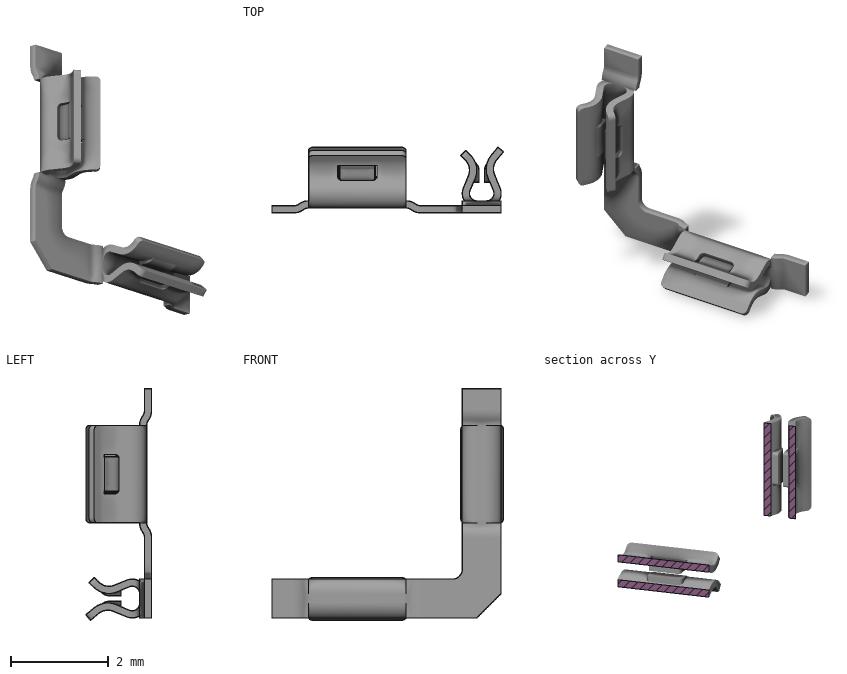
import cadquery as cq
import math

LEG_LENGTH = 4.7
STRIP_WIDTH = 0.8
THICKNESS = 0.15
INNER_CORNER_RADIUS = 0.2
OUTER_CORNER_CHAMFER = 0.5

END_PAD_LENGTH = 0.45
CLIP_LENGTH = 2.0
JOGGLE_LENGTH = 0.3
JOGGLE_HEIGHT = 0.1
JOGGLE_STRAIGHT = 0.02

CLIP_END = LEG_LENGTH - END_PAD_LENGTH - JOGGLE_LENGTH
CLIP_START = CLIP_END - CLIP_LENGTH
CLIP_MIDDLE = (CLIP_START + CLIP_END) / 2
PLATE_END = CLIP_START - JOGGLE_LENGTH

CLIP_HEIGHT = 1.35
BASE_FLAT = 0.2
BEND_OUTER_RADIUS = (STRIP_WIDTH - BASE_FLAT) / 2
BEND_INNER_RADIUS = BEND_OUTER_RADIUS - THICKNESS
ARM_LEAN = 22.5
WAIST_CONCAVE_RADIUS = 0.3
WAIST_CONVEX_RADIUS = WAIST_CONCAVE_RADIUS + THICKNESS
SHORT_ARM_STRAIGHT = 0.265
SHORT_ARM_FLARE = 45.0
SHORT_ARM_TIP = 0.13
LONG_ARM_STRAIGHT = 0.292
LONG_ARM_FLARE = 40.0
TIP_CORNER_RADIUS = 0.1

WINDOW_LENGTH = 0.8
WINDOW_BOTTOM = 0.667
WINDOW_TOP = 0.968
WINDOW_CORNER_RADIUS = 0.1
WINDOW_REACH_OUT = 0.1
WINDOW_REACH_IN = 0.3
SHORT_ARM_LANCE_LENGTH = 0.7
LONG_ARM_LANCE_LENGTH = 0.75
LANCE_HALF_GAP = 0.055
LANCE_BOTTOM = 0.628
LANCE_BEND_HEIGHT = 0.875
LANCE_BEND_ANGLE = 40.0
LANCE_BEND_RADIUS = 0.05
LANCE_ROOT = 0.1
LANCE_CORNER_RADIUS = 0.06

BEND_CENTER = (BASE_FLAT / 2, JOGGLE_HEIGHT + BEND_OUTER_RADIUS)


def offset(point, distance, degrees):
    """Point at a distance and direction from another point."""
    angle = math.radians(degrees)
    return (point[0] + distance * math.cos(angle), point[1] + distance * math.sin(angle))


def arc_to(sketch, center, radius, start, end):
    """Continue an outline along a circular arc, from one angle to another."""
    middle = offset(center, radius, (start + end) / 2)
    return sketch.threePointArc(middle, offset(center, radius, end))


def corner_plate():
    """Flat plate that joins the two legs at the corner."""
    outline = (
        cq.Workplane("XZ")
        .moveTo(-PLATE_END, 0)
        .lineTo(-OUTER_CORNER_CHAMFER, 0)
        .lineTo(0, OUTER_CORNER_CHAMFER)
        .lineTo(0, PLATE_END)
        .lineTo(-STRIP_WIDTH, PLATE_END)
        .lineTo(-STRIP_WIDTH, STRIP_WIDTH)
        .lineTo(-PLATE_END, STRIP_WIDTH)
        .close()
    )
    plate = outline.extrude(-THICKNESS)
    inner_corner = cq.selectors.NearestToPointSelector((-STRIP_WIDTH, THICKNESS / 2, STRIP_WIDTH))
    return plate.edges("|Y").edges(inner_corner).fillet(INNER_CORNER_RADIUS)


def end_pad():
    pad = cq.Workplane("XY").box(STRIP_WIDTH, THICKNESS, END_PAD_LENGTH, centered=False)
    return pad.translate((-STRIP_WIDTH, 0, LEG_LENGTH - END_PAD_LENGTH))


def joggle():
    """S-bend from strip level at Z = 0 up to clip level at Z = JOGGLE_LENGTH."""
    middle_radius = (JOGGLE_LENGTH**2 + JOGGLE_HEIGHT**2 - JOGGLE_STRAIGHT**2) / (4 * JOGGLE_HEIGHT)
    slope = math.degrees(
        math.atan2(JOGGLE_LENGTH, 2 * middle_radius - JOGGLE_HEIGHT)
        - math.atan2(JOGGLE_STRAIGHT, 2 * middle_radius)
    )
    inner = middle_radius - THICKNESS / 2
    outer = middle_radius + THICKNESS / 2
    low_center = (THICKNESS + inner, 0)
    high_center = (JOGGLE_HEIGHT - inner, JOGGLE_LENGTH)
    section = cq.Workplane("YZ").moveTo(0, 0)
    section = arc_to(section, low_center, outer, 180, 180 - slope)
    section = section.lineTo(*offset(high_center, inner, -slope))
    section = arc_to(section, high_center, inner, -slope, 0)
    section = section.lineTo(JOGGLE_HEIGHT + THICKNESS, JOGGLE_LENGTH)
    section = arc_to(section, high_center, outer, 0, -slope)
    section = section.lineTo(*offset(low_center, inner, 180 - slope))
    section = arc_to(section, low_center, inner, 180 - slope, 180)
    return section.close().extrude(-STRIP_WIDTH)


def waist_center(straight):
    """Centre of the waist arcs for an arm with the given straight length."""
    across = offset(BEND_CENTER, BEND_OUTER_RADIUS + WAIST_CONCAVE_RADIUS, ARM_LEAN)
    return offset(across, straight, 90 + ARM_LEAN)


def clip_arm(straight, flare, tip, lance_length):
    """Half of the clip on the +X side of its middle plane X = 0, centred on Z = 0."""
    waist = waist_center(straight)
    waist_start = 180 + ARM_LEAN
    waist_end = 180 - flare
    tip_direction = 90 - flare
    convex_end = offset(waist, WAIST_CONVEX_RADIUS, waist_end)
    concave_end = offset(waist, WAIST_CONCAVE_RADIUS, waist_end)

    section = cq.Workplane("XY").moveTo(0, JOGGLE_HEIGHT + THICKNESS)
    section = section.lineTo(BEND_CENTER[0], JOGGLE_HEIGHT + THICKNESS)
    section = arc_to(section, BEND_CENTER, BEND_INNER_RADIUS, -90, ARM_LEAN)
    section = section.lineTo(*offset(waist, WAIST_CONVEX_RADIUS, waist_start))
    section = arc_to(section, waist, WAIST_CONVEX_RADIUS, waist_start, waist_end)
    section = section.lineTo(*offset(convex_end, tip, tip_direction))
    section = section.lineTo(*offset(concave_end, tip, tip_direction))
    section = section.lineTo(*concave_end)
    section = arc_to(section, waist, WAIST_CONCAVE_RADIUS, waist_end, waist_start)
    section = section.lineTo(*offset(BEND_CENTER, BEND_OUTER_RADIUS, ARM_LEAN))
    section = arc_to(section, BEND_CENTER, BEND_OUTER_RADIUS, ARM_LEAN, -90)
    section = section.lineTo(0, JOGGLE_HEIGHT)
    arm = section.close().extrude(CLIP_LENGTH / 2, both=True)
    tip_middle = offset(offset(waist, WAIST_CONCAVE_RADIUS + THICKNESS / 2, waist_end), tip, tip_direction)
    tip_face = cq.selectors.NearestToPointSelector((*tip_middle, 0))
    arm = arm.faces(tip_face).edges("not |Z").fillet(TIP_CORNER_RADIUS)
    return arm.cut(lance_window()).union(lance(waist, lance_length))


def lance_window():
    """Cutter for the window, its lower end square to the sheet."""
    bend_edge = offset(BEND_CENTER, BEND_OUTER_RADIUS, ARM_LEAN)
    rise = (WINDOW_BOTTOM - bend_edge[1]) / math.cos(math.radians(ARM_LEAN))
    on_arm = offset(bend_edge, rise, 90 + ARM_LEAN)
    outside = offset(on_arm, WINDOW_REACH_OUT, ARM_LEAN)
    inside = offset(on_arm, -WINDOW_REACH_IN, ARM_LEAN)
    corners = [inside, outside, (outside[0], WINDOW_TOP), (inside[0], WINDOW_TOP)]
    cutter = cq.Workplane("XY").polyline(corners).close().extrude(WINDOW_LENGTH / 2, both=True)
    return cutter.faces("<Y").edges("not |Z").fillet(WINDOW_CORNER_RADIUS)


def lance(waist, length):
    """Tongue hanging from the waist, trimmed flush with the outside of the arm."""
    back = LANCE_HALF_GAP + THICKNESS
    bend = (back + LANCE_BEND_RADIUS, LANCE_BEND_HEIGHT)
    front_radius = LANCE_BEND_RADIUS + THICKNESS
    bend_end = 180 - LANCE_BEND_ANGLE
    root_direction = 90 - LANCE_BEND_ANGLE
    front_end = offset(bend, front_radius, bend_end)
    back_end = offset(bend, LANCE_BEND_RADIUS, bend_end)

    section = cq.Workplane("XY").moveTo(back, LANCE_BOTTOM).lineTo(LANCE_HALF_GAP, LANCE_BOTTOM)
    section = section.lineTo(LANCE_HALF_GAP, LANCE_BEND_HEIGHT)
    section = arc_to(section, bend, front_radius, 180, bend_end)
    section = section.lineTo(*offset(front_end, LANCE_ROOT, root_direction))
    section = section.lineTo(*offset(back_end, LANCE_ROOT, root_direction))
    section = section.lineTo(*back_end)
    section = arc_to(section, bend, LANCE_BEND_RADIUS, bend_end, 180)
    tongue = section.close().extrude(length / 2, both=True)
    tongue = tongue.faces("<Y").edges("|X").fillet(LANCE_CORNER_RADIUS)

    waist_hollow = (
        cq.Workplane("XY")
        .center(*waist)
        .circle(WAIST_CONCAVE_RADIUS)
        .extrude(length, both=True)
    )
    return tongue.cut(waist_hollow)


def clip():
    waist = waist_center(LONG_ARM_STRAIGHT)
    long_tip_start = offset(waist, WAIST_CONVEX_RADIUS, 180 - LONG_ARM_FLARE)
    long_tip = (CLIP_HEIGHT - long_tip_start[1]) / math.cos(math.radians(LONG_ARM_FLARE))
    long_arm = clip_arm(LONG_ARM_STRAIGHT, LONG_ARM_FLARE, long_tip, LONG_ARM_LANCE_LENGTH)
    short_arm = clip_arm(
        SHORT_ARM_STRAIGHT, SHORT_ARM_FLARE, SHORT_ARM_TIP, SHORT_ARM_LANCE_LENGTH
    )
    return long_arm.union(short_arm.mirror("YZ")).translate((-STRIP_WIDTH / 2, 0, CLIP_MIDDLE))


def leg():
    """Everything beyond the corner plate on the upright leg."""
    near_joggle = joggle().translate((0, 0, PLATE_END))
    far_joggle = joggle().mirror("XY").translate((0, 0, CLIP_END + JOGGLE_LENGTH))
    return clip().union(near_joggle).union(far_joggle).union(end_pad())


upright_leg = leg()
level_leg = upright_leg.mirror((1, 0, 1))
result = corner_plate().union(upright_leg).union(level_leg).clean()